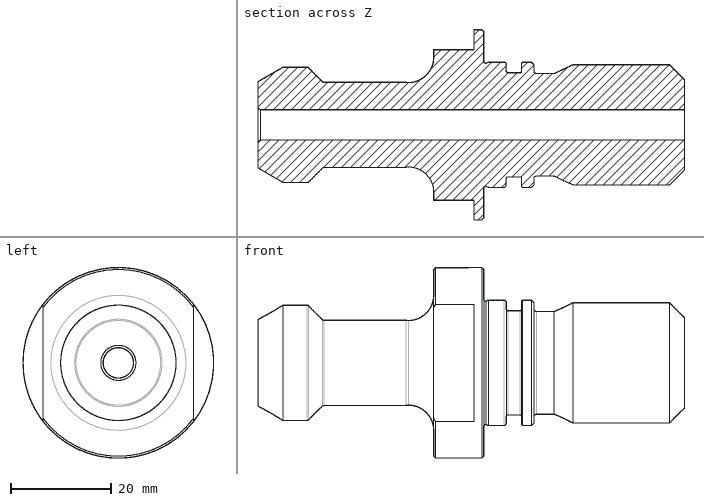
import cadquery as cq
import math

total_length = 85.0
head_front_length = 5.0
head_rear_x = 10.0
neck_relief_x = 29.5
flange_front_x = 35.0
flat_end_x = 43.0
flange_rear_x = 45.0
groove_front_x = 49.5
groove_rear_x = 52.5
ring_rear_x = 55.0
runout_start_x = 59.0
runout_end_x = 62.75

head_diameter = 23.0
neck_diameter = 17.0
neck_relief_diameter = 16.9
flange_diameter = 38.0
collar_diameter = 25.0
collar_relief_diameter = 24.6
groove_diameter = 20.8
shank_neck_diameter = 20.5
shank_diameter = 24.0
bore_diameter = 6.0

width_across_flats = 30.0
head_front_angle = 30.0
head_front_edge_radius = 0.3
head_rear_edge_radius = 0.4
neck_fillet_radius = 5.0
flange_chamfer = 0.4
collar_root_fillet_radius = 0.4
collar_relief_taper_length = 0.5
collar_rear_radius = 0.5
ring_rear_chamfer = 0.5
ring_front_chamfer = 0.2
root_fillet_radius = 0.3
shank_root_fillet_radius = 0.5
shank_end_chamfer = 3.0
bore_chamfer = 0.5

HALF_DIAGONAL = math.sqrt(0.5)


def add_concave_root(outline, x, radius, fillet, direction):
    """Draw a quarter-round root between a radial wall at x and a cylinder.

    direction = +1: from the wall down onto the cylinder behind it.
    direction = -1: from the cylinder up onto the wall behind it.
    """
    on_wall = (x, radius + fillet)
    on_cylinder = (x + direction * fillet, radius)
    inset = fillet * (1 - HALF_DIAGONAL)
    middle = (x + direction * inset, radius + inset)
    if direction > 0:
        return outline.lineTo(*on_wall).threePointArc(middle, on_cylinder)
    return outline.lineTo(*on_cylinder).threePointArc(middle, on_wall)


def make_body():
    """Revolve the half outline of the stud about the X axis."""
    head_r = head_diameter / 2
    neck_r = neck_diameter / 2
    relief_r = neck_relief_diameter / 2
    flange_r = flange_diameter / 2
    collar_r = collar_diameter / 2
    collar_relief_r = collar_relief_diameter / 2
    shank_r = shank_diameter / 2
    front_r = head_r - head_front_length * math.tan(math.radians(head_front_angle))
    neck_start_x = head_rear_x + head_r - neck_r
    collar_rear_inset = collar_rear_radius * (1 - HALF_DIAGONAL)
    collar_relief_end_x = flange_rear_x + collar_root_fillet_radius

    outline = (
        cq.Workplane("XY")
        .moveTo(0, 0)
        .lineTo(0, front_r)
        .lineTo(head_front_length, head_r)
        .lineTo(head_rear_x, head_r)
        .lineTo(neck_start_x, neck_r)
        .lineTo(neck_relief_x, neck_r)
    )
    outline = add_concave_root(outline, flange_front_x, relief_r, neck_fillet_radius, -1)
    outline = (
        outline
        .lineTo(flange_front_x, flange_r - flange_chamfer)
        .lineTo(flange_front_x + flange_chamfer, flange_r)
        .lineTo(flange_rear_x - flange_chamfer, flange_r)
        .lineTo(flange_rear_x, flange_r - flange_chamfer)
    )
    outline = add_concave_root(outline, flange_rear_x, collar_relief_r, collar_root_fillet_radius, 1)
    outline = (
        outline
        .lineTo(collar_relief_end_x + collar_relief_taper_length, collar_r)
        .lineTo(groove_front_x - collar_rear_radius, collar_r)
        .threePointArc(
            (groove_front_x - collar_rear_inset, collar_r - collar_rear_inset),
            (groove_front_x, collar_r - collar_rear_radius),
        )
    )
    groove_r = groove_diameter / 2
    outline = add_concave_root(outline, groove_front_x, groove_r, root_fillet_radius, 1)
    outline = add_concave_root(outline, groove_rear_x, groove_r, root_fillet_radius, -1)
    outline = (
        outline
        .lineTo(groove_rear_x, collar_r - ring_front_chamfer)
        .lineTo(groove_rear_x + ring_front_chamfer, collar_r)
        .lineTo(ring_rear_x - ring_rear_chamfer, collar_r)
        .lineTo(ring_rear_x, collar_r - ring_rear_chamfer)
    )
    shank_neck_r = shank_neck_diameter / 2
    outline = add_concave_root(outline, ring_rear_x, shank_neck_r, shank_root_fillet_radius, 1)
    outline = (
        outline
        .lineTo(runout_start_x, shank_neck_r)
        .lineTo(runout_end_x, shank_r)
        .lineTo(total_length - shank_end_chamfer, shank_r)
        .lineTo(total_length, shank_r - shank_end_chamfer)
        .lineTo(total_length, 0)
        .close()
    )
    return outline.revolve(360, (0, 0, 0), (1, 0, 0))


def round_head_edges(body):
    """Round the front rim of the head and both ends of the cone behind it."""
    neck_start_x = head_rear_x + (head_diameter - neck_diameter) / 2
    body = body.faces("<X").edges().fillet(head_front_edge_radius)
    for x in (head_rear_x, neck_start_x):
        slab = cq.selectors.BoxSelector(
            (x - head_rear_edge_radius, -head_diameter, -head_diameter),
            (x + head_rear_edge_radius, head_diameter, head_diameter),
        )
        body = body.edges("%CIRCLE").edges(slab).fillet(head_rear_edge_radius)
    return body


def cut_flats(body):
    """Mill two wrench flats into the front of the flange, on the +Y and -Y sides."""
    flat_length = flat_end_x - flange_front_x
    flat_depth = (flange_diameter - width_across_flats) / 2
    for side in (1, -1):
        cutter = cq.Workplane("XY").box(flat_length, flat_depth, flange_diameter).translate(
            (flange_front_x + flat_length / 2, side * (width_across_flats + flat_depth) / 2, 0)
        )
        body = body.cut(cutter)
    return body


def cut_bore(body):
    """Drill the through bore and chamfer its mouth at the gripping end."""
    bore_r = bore_diameter / 2
    bore = (
        cq.Workplane("XY")
        .polyline([
            (0, 0),
            (0, bore_r + bore_chamfer),
            (bore_chamfer, bore_r),
            (total_length, bore_r),
            (total_length, 0),
        ])
        .close()
        .revolve(360, (0, 0, 0), (1, 0, 0))
    )
    return body.cut(bore)


result = cut_bore(cut_flats(round_head_edges(make_body())))